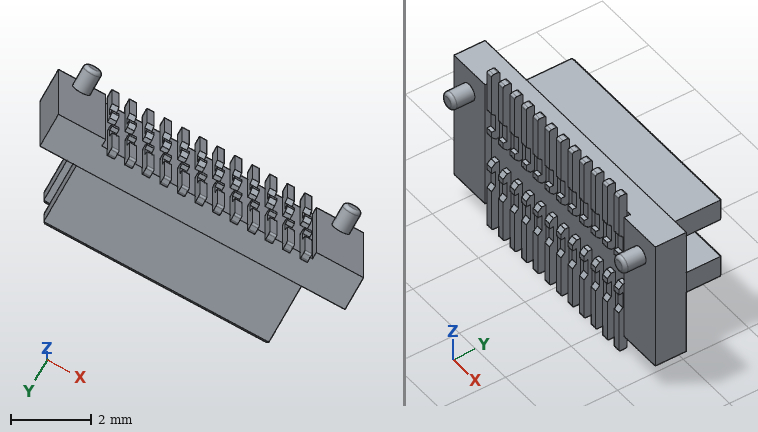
import cadquery as cq

plate_length = 8.7
plate_depth = 0.95
plate_height = 4.0

recess_width = 6.0
recess_depth = 0.19

bar_length = 6.42
bar_projection = 1.9
bar_height = 0.66
bar_offset = 0.95
bar_chamfer = 0.05

peg_diameter = 0.505
peg_projection = 0.65
peg_end_inset = 0.65
peg_z = 1.25
peg_fillet = 0.105

contacts_per_row = 12
contact_row_span = 5.5
contact_width = 0.2
contact_thickness = 0.25
contact_standout = 0.05
contact_tip_z = 2.6
contact_tip_fillet = 0.06
contact_root_z = 0.4
contact_bevel = 0.12
groove_inner_z = 0.7
groove_outer_z = 1.305
groove_depth = contact_bevel

contact_pitch = contact_row_span / (contacts_per_row - 1)
contact_front_y = -contact_standout
contact_back_y = contact_front_y + contact_thickness


def make_plate():
    plate = cq.Workplane("XY").box(plate_length, plate_depth, plate_height, centered=(True, False, True))
    recess = cq.Workplane("XY").box(recess_width, recess_depth, plate_height, centered=(True, False, True))
    return plate.cut(recess)


def make_bar(z):
    return (
        cq.Workplane("XY")
        .box(bar_length, bar_projection, bar_height, centered=(True, False, True))
        .faces(">Y")
        .chamfer(bar_chamfer)
        .translate((0, plate_depth, z))
    )


def make_peg(x):
    return (
        cq.Workplane("XZ")
        .center(x, peg_z)
        .circle(peg_diameter / 2)
        .extrude(peg_projection)
        .faces("<Y")
        .edges()
        .fillet(peg_fillet)
    )


def make_upper_contact():
    profile = [
        (contact_back_y, contact_root_z),
        (contact_front_y + contact_bevel, contact_root_z),
        (contact_front_y, contact_root_z + contact_bevel),
        (contact_front_y, groove_inner_z),
        (contact_front_y + groove_depth, groove_inner_z),
        (contact_front_y + groove_depth, groove_outer_z - groove_depth),
        (contact_front_y, groove_outer_z),
        (contact_front_y, contact_tip_z),
        (contact_back_y, contact_tip_z),
    ]
    return (
        cq.Workplane("YZ")
        .polyline(profile)
        .close()
        .extrude(contact_width / 2, both=True)
        .faces(">Z")
        .edges("|X")
        .fillet(contact_tip_fillet)
    )


result = make_plate()

for side in (-1, 1):
    result = result.union(make_bar(side * bar_offset))
    result = result.union(make_peg(side * (plate_length / 2 - peg_end_inset)))

upper_contact = make_upper_contact()
lower_contact = upper_contact.mirror("XY")
for index in range(contacts_per_row):
    contact_x = index * contact_pitch - contact_row_span / 2
    result = result.union(upper_contact.translate((contact_x, 0, 0)))
    result = result.union(lower_contact.translate((contact_x, 0, 0)))